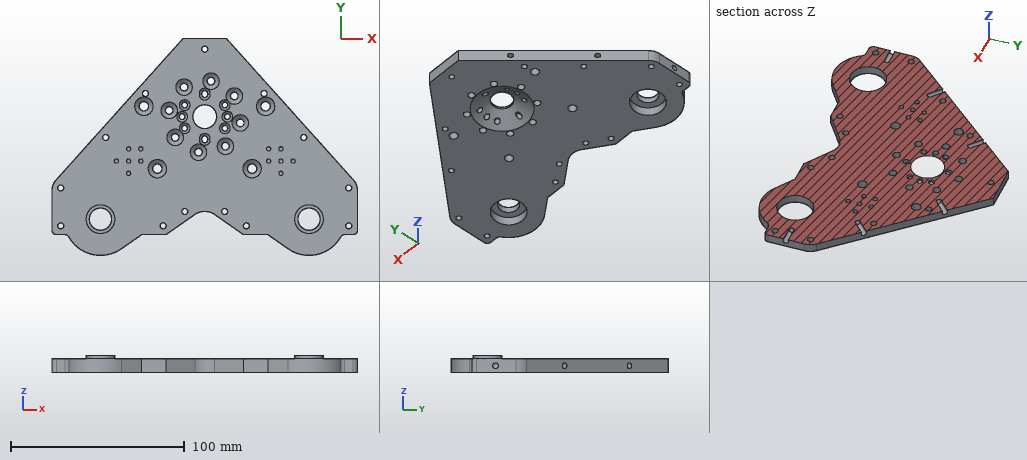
import cadquery as cq
import math

length = 176.0
half_length = length / 2
total_height = 10.0
boss_height = 2.0
plate_thickness = total_height - boss_height

apex_y = 45.0
apex_half_width = 12.5
shoulder_y = -39.0
shoulder_radius = 9.1
foot_y = -68.0
foot_radius = 2.6
notch_top_y = -54.5
notch_radius = 10.0
flank_angle = math.radians(35)
lobe_x = 60.0
lobe_y = -59.0
lobe_radius = 21.0

boss_diameter = 16.5
boss_bore = 12.7
bearing_recess = 21.1
bearing_recess_depth = 6.0

hub_bore = 13.5
hub_lip = 1.4
hub_flare_half_angle = math.radians(60)

hub_screw_hole = 3.2
hub_screw_head = 6.2
hub_screw_radius = 13.4
hub_screw_angles = [30, 150, 210, 330]
hub_axis_radius = 13.0
hub_slot_travel = 0.7

ring_hole = 4.2
ring_head = 9.5
ring_radius = 20.8
ring_count = 8
ring_start_angle = 35

mount_hole = 5.3
mount_head = 10.5
mount_points = [(35.0, 6.0), (27.3, -29.9)]

rim_hole = 3.3
apex_hole_y = 38.9
rim_points = [
    (34.1, 13.4),
    (57.0, -12.0),
    (82.9, -41.0),
    (82.9, -62.8),
    (24.0, -62.8),
    (11.5, -54.5),
]

drill_tip_half_angle = math.radians(59)
pin_hole = 2.5
pin_depth = 5.3
pin_pitch = 7.0
pin_center = (43.8, -25.5)
pin_steps = [(0, 0), (1, 0), (-1, 0), (0, 1), (-1, 1), (0, -1)]
edge_hole = 3.3
edge_depth = 10.0
slope_hole_ys = [22.7, -14.6]
end_hole_y = -54.4


def both_sides(points):
    return [(side * x, y) for x, y in points for side in (-1, 1)]


def polar(radius, degrees):
    angle = math.radians(degrees)
    return radius * math.cos(angle), radius * math.sin(angle)


def half_plate():
    """The +X half of the plate."""
    sine = math.sin(flank_angle)
    cosine = math.cos(flank_angle)
    tangent = math.tan(flank_angle)

    notch_center_y = notch_top_y - notch_radius
    notch_middle = (
        notch_radius * math.sin(flank_angle / 2),
        notch_center_y + notch_radius * math.cos(flank_angle / 2),
    )
    notch_end = (notch_radius * sine, notch_center_y + notch_radius * cosine)
    notch_foot_x = notch_end[0] + (notch_end[1] - foot_y) / tangent
    lobe_end = (lobe_x - lobe_radius * sine, lobe_y - lobe_radius * cosine)
    lobe_inner_foot_x = lobe_end[0] - (foot_y - lobe_end[1]) / tangent
    lobe_outer_foot_x = lobe_x + math.sqrt(lobe_radius**2 - (foot_y - lobe_y) ** 2)

    plate = (
        cq.Workplane("XY")
        .moveTo(0, apex_y)
        .lineTo(apex_half_width, apex_y)
        .lineTo(half_length, shoulder_y)
        .lineTo(half_length, foot_y)
        .lineTo(lobe_outer_foot_x, foot_y)
        .threePointArc((lobe_x, lobe_y - lobe_radius), lobe_end)
        .lineTo(lobe_inner_foot_x, foot_y)
        .lineTo(notch_foot_x, foot_y)
        .lineTo(*notch_end)
        .threePointArc(notch_middle, (0, notch_top_y))
        .close()
        .extrude(plate_thickness)
    )
    rounded_corners = [
        (half_length, shoulder_y, shoulder_radius),
        (half_length, foot_y, foot_radius),
        (lobe_outer_foot_x, foot_y, foot_radius),
    ]
    for x, y, radius in rounded_corners:
        corner = cq.selectors.NearestToPointSelector((x, y, plate_thickness / 2))
        plate = plate.edges(corner).fillet(radius)
    return plate


def cylinders(points, diameter, height):
    """Upright cylinders standing on the underside of the plate."""
    return cq.Workplane("XY").pushPoints(points).circle(diameter / 2).extrude(height)


def turned(profile):
    """Solid of revolution about Z from (radius, height) points."""
    return cq.Workplane("XZ").polyline(profile).close().revolve(360, (0, 0), (0, 1))


def place(tool, points):
    """One copy of the tool at each point."""
    copies = cq.Workplane("XY")
    for x, y in points:
        copies = copies.add(tool.translate((x, y, 0)))
    return copies.combine()


def countersunk(hole, head):
    """90 degree countersunk hole through the plate."""
    cone_bottom = plate_thickness - (head - hole) / 2
    return turned([
        (0, 0),
        (hole / 2, 0),
        (hole / 2, cone_bottom),
        (head / 2, plate_thickness),
        (0, plate_thickness),
    ])


def countersunk_slot(hole, head, travel):
    """90 degree countersunk slot through the plate, long in Y."""
    cone_depth = (head - hole) / 2
    slot = cq.Workplane("XY").slot2D(hole + travel, hole, 90).extrude(plate_thickness)
    cone = (
        cq.Workplane("XY", origin=(0, 0, plate_thickness))
        .slot2D(head + travel, head, 90)
        .extrude(-cone_depth, taper=45)
    )
    return slot.union(cone)


def drill(diameter, depth):
    """Blind drilled hole going down from the origin, with a conical tip below the full depth."""
    radius = diameter / 2
    tip = radius / math.tan(drill_tip_half_angle)
    return turned([(0, 0), (radius, 0), (radius, -depth), (0, -depth - tip)])


def edge_drill(x, y, outward_degrees):
    """Level blind hole entering the rim at mid thickness."""
    tool = drill(edge_hole, edge_depth).rotate((0, 0, 0), (0, 1, 0), 90)
    tool = tool.rotate((0, 0, 0), (0, 0, 1), outward_degrees)
    return tool.translate((x, y, plate_thickness / 2))


half = half_plate()
result = half.union(half.mirror("YZ"))
boss_points = both_sides([(lobe_x, lobe_y)])
result = result.union(cylinders(boss_points, boss_diameter, total_height))
result = result.cut(cylinders(boss_points, boss_bore, total_height))
result = result.cut(cylinders(boss_points, bearing_recess, bearing_recess_depth))

flare_height = plate_thickness - hub_lip
flare_radius = hub_bore / 2 + flare_height * math.tan(hub_flare_half_angle)
hub_cut = turned([
    (0, 0),
    (flare_radius, 0),
    (hub_bore / 2, flare_height),
    (hub_bore / 2, plate_thickness),
    (0, plate_thickness),
])
result = result.cut(hub_cut)

hub_points = [polar(hub_screw_radius, angle) for angle in hub_screw_angles]
hub_points += both_sides([(hub_axis_radius, 0)])
result = result.cut(place(countersunk(hub_screw_hole, hub_screw_head), hub_points))

hub_slot = countersunk_slot(hub_screw_hole, hub_screw_head, hub_slot_travel)
result = result.cut(place(hub_slot, [(0, hub_axis_radius), (0, -hub_axis_radius)]))

ring_step = 360 / ring_count
ring_points = [polar(ring_radius, ring_start_angle + ring_step * i) for i in range(ring_count)]
result = result.cut(place(countersunk(ring_hole, ring_head), ring_points))

result = result.cut(place(countersunk(mount_hole, mount_head), both_sides(mount_points)))

result = result.cut(cylinders([(0, apex_hole_y)] + both_sides(rim_points), rim_hole, plate_thickness))

pin_points = [(pin_center[0] + i * pin_pitch, pin_center[1] + j * pin_pitch) for i, j in pin_steps]
pin_drill = drill(pin_hole, pin_depth).translate((0, 0, plate_thickness))
result = result.cut(place(pin_drill, both_sides(pin_points)))

slope_run = half_length - apex_half_width
slope_rise = apex_y - shoulder_y
slope_normal = math.degrees(math.atan2(slope_run, slope_rise))
edge_holes = [(half_length, end_hole_y, 0)]
for y in slope_hole_ys:
    edge_holes.append((apex_half_width + (apex_y - y) * slope_run / slope_rise, y, slope_normal))
for x, y, normal in edge_holes:
    result = result.cut(edge_drill(x, y, normal))
    result = result.cut(edge_drill(-x, y, 180 - normal))

result = cq.Workplane(result.solids().val())